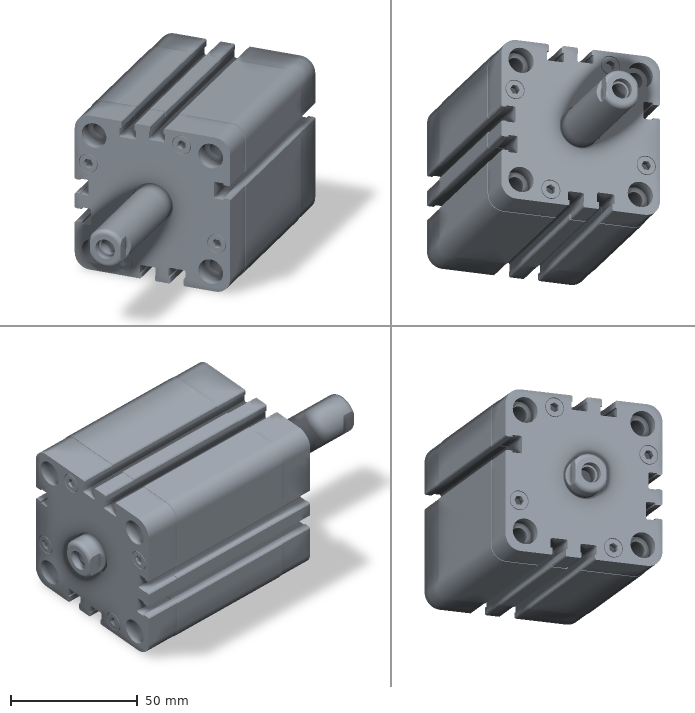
import cadquery as cq
import math


rod_length = 140.5
rod_front_y = -rod_length / 2
rod_back_y = rod_length / 2
front_overhang = 47.5
back_overhang = 7.5
cap_length = 15.0
front_face_y = rod_front_y + front_overhang
back_face_y = rod_back_y - back_overhang

barrel_side = 67.0
barrel_corner_radius = 6.6
cap_inset = 0.21
cap_side = barrel_side - 2 * cap_inset
cap_corner_radius = barrel_corner_radius - cap_inset

deep_slot_centre = -10.5
deep_slot_floor = 26.5
deep_slot_lip = 30.3
shallow_slot_centre = 2.0
shallow_slot_floor = 27.5
shallow_slot_lip = 31.0
slot_mouth_width = 5.6
slot_width = 6.7
cap_deep_slot_width = 7.2
cap_shallow_left_mouth = 3.1
cap_floor_step = 0.1
mouth_chamfer = 0.4
floor_chamfer = 0.4

mount_offset = 25.0
mount_diameter = 6.6
counterbore_diameter = 10.5
counterbore_depth = 4.7

screw_along = 12.5
screw_out = 27.5
screw_hole_diameter = 8.0
screw_head_diameter = 7.5
screw_gap_depth = 0.7
socket_across_flats = 3.5
socket_depth = 3.5

rod_diameter = 16.0
rod_round = 1.8
rod_bore_diameter = 17.5
rod_bore_depth = 1.0
flat_width = 13.0
flat_length = 5.6
thread_diameter = 6.6
thread_depth = 19.7
relief_diameter = 8.3
relief_depth = 3.2
drill_tip_angle = 118

quarter_turns = (0, 90, 180, 270)


def square_block(side, corner_radius, y_start, y_end):
    return (
        cq.Workplane("XZ", origin=(0, y_start, 0))
        .rect(side, side)
        .extrude(y_start - y_end)
        .edges("|Y")
        .fillet(corner_radius)
    )


def cylinder(diameter, y_start, y_end, x=0, z=0):
    return (
        cq.Workplane("XZ", origin=(x, y_start, z))
        .circle(diameter / 2)
        .extrude(y_start - y_end)
    )


def slot_half(side, mouth, half_width, floor, lip, surface):
    """Outline of one slot side, from the floor up; side is -1 (left) or 1 (right)."""
    points = [
        (half_width - floor_chamfer, floor),
        (half_width, floor + floor_chamfer),
        (half_width, lip),
        (mouth, lip),
        (mouth, surface - mouth_chamfer),
        (mouth + mouth_chamfer, surface),
        (mouth + mouth_chamfer, barrel_side),
    ]
    return [(side * x, z) for x, z in points]


def slot_cutter(centre, width, left_mouth, floor, lip, surface, y_start, y_end):
    left = slot_half(-1, left_mouth, width / 2, floor, lip, surface)
    right = slot_half(1, slot_mouth_width / 2, width / 2, floor, lip, surface)
    outline = [(centre + x, z) for x, z in left[::-1] + right]
    return (
        cq.Workplane("XZ", origin=(0, y_start, 0))
        .polyline(outline)
        .close()
        .extrude(y_start - y_end)
    )


def cut_slots(block, side, deep_width, shallow_left_mouth, floor_step, y_start, y_end):
    surface = side / 2
    deep = slot_cutter(
        deep_slot_centre, deep_width, slot_mouth_width / 2,
        deep_slot_floor - floor_step, deep_slot_lip, surface, y_start, y_end,
    )
    shallow = slot_cutter(
        shallow_slot_centre, slot_width, shallow_left_mouth,
        shallow_slot_floor - floor_step, shallow_slot_lip, surface, y_start, y_end,
    )
    for turn in quarter_turns:
        block = block.cut(deep.rotate((0, 0, 0), (0, 1, 0), turn))
        if turn != 90:
            block = block.cut(shallow.rotate((0, 0, 0), (0, 1, 0), turn))
    return block


def make_cap(y_start, y_end):
    block = square_block(cap_side, cap_corner_radius, y_start, y_end)
    return cut_slots(
        block, cap_side, cap_deep_slot_width, cap_shallow_left_mouth, cap_floor_step, y_start, y_end
    )


def make_barrel(y_start, y_end):
    block = square_block(barrel_side, barrel_corner_radius, y_start, y_end)
    return cut_slots(block, barrel_side, slot_width, slot_mouth_width / 2, 0, y_start, y_end)


def mounting_holes():
    """Cutter for the corner holes, right through and counterbored at both end faces."""
    cutters = cq.Workplane("XZ")
    for x in (-mount_offset, mount_offset):
        for z in (-mount_offset, mount_offset):
            cutters = cutters.add(cylinder(mount_diameter, front_face_y, back_face_y, x, z))
            for face_y, inward in ((front_face_y, 1.4), (back_face_y, -1.4)):
                bottom_y = face_y + inward * counterbore_depth
                cutters = cutters.add(cylinder(counterbore_diameter, face_y, bottom_y, x, z))
    return cutters.combine()


def screw_recess(face_y, inward):
    """Cutter for the ring gap around a screw head and its hexagon socket."""
    gap_y = face_y + inward * screw_gap_depth
    socket_y = face_y + inward * socket_depth
    hole = cylinder(screw_hole_diameter, face_y, gap_y)
    head = cylinder(screw_head_diameter, face_y, gap_y)
    half_hexagon_step = math.pi / 6
    socket = (
        cq.Workplane("XZ", origin=(0, face_y, 0))
        .polygon(6, socket_across_flats / math.cos(half_hexagon_step))
        .extrude(face_y - socket_y)
        .rotate((0, 0, 0), (0, 1, 0), math.degrees(half_hexagon_step))
    )
    return hole.cut(head).union(socket).translate((screw_along, 0, screw_out))


def thread_hole(face_y, inward):
    """Cutter for a rod-end hole: wide relief, then a bore with a conical bottom."""
    tip_length = thread_diameter / 2 / math.tan(math.radians(drill_tip_angle / 2))
    outline = [
        (0, 0),
        (relief_diameter / 2, 0),
        (relief_diameter / 2, relief_depth),
        (thread_diameter / 2, relief_depth),
        (thread_diameter / 2, thread_depth),
        (0, thread_depth + tip_length),
    ]
    return (
        cq.Workplane("XY")
        .polyline([(r, face_y + inward * depth) for r, depth in outline])
        .close()
        .revolve(360, (0, 0, 0), (0, 1, 0))
    )


def wrench_flat(side, face_y, inward):
    """Cutter for one flat, with a 45 degree run-out back to the full rod."""
    inner = flat_width / 2
    outer = rod_diameter / 2
    outline = [
        (inner, 0),
        (inner, flat_length),
        (outer, flat_length + outer - inner),
        (outer, 0),
    ]
    return (
        cq.Workplane("XY")
        .polyline([(side * x, face_y + inward * depth) for x, depth in outline])
        .close()
        .extrude(outer, both=True)
    )


def make_rod():
    rod = cylinder(rod_diameter, rod_front_y, rod_back_y)
    rod = rod.faces("<Y or >Y").edges().fillet(rod_round)
    for face_y, inward in ((rod_front_y, 1), (rod_back_y, -1)):
        rod = rod.cut(thread_hole(face_y, inward))
        for side in (-1, 1):
            rod = rod.cut(wrench_flat(side, face_y, inward))
    return rod


front_seam_y = front_face_y + cap_length
back_seam_y = back_face_y - cap_length

body = make_barrel(front_seam_y, back_seam_y)
body = body.union(make_cap(front_face_y, front_seam_y))
body = body.union(make_cap(back_seam_y, back_face_y))
body = body.cut(mounting_holes())

for face_y, inward in ((front_face_y, 1), (back_face_y, -1)):
    body = body.cut(cylinder(rod_bore_diameter, face_y, face_y + inward * rod_bore_depth))
    recess = screw_recess(face_y, inward)
    for turn in quarter_turns:
        body = body.cut(recess.rotate((0, 0, 0), (0, 1, 0), turn))

result = body.union(make_rod())